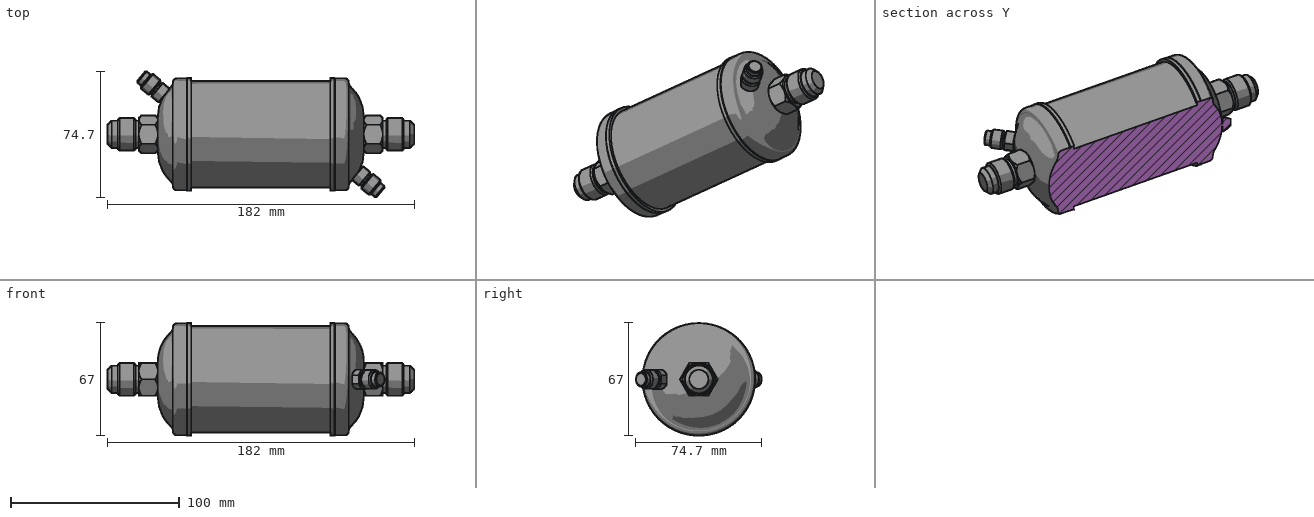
import cadquery as cq
import math


half_length = 91.0
shell_radius = 31.7
bead_radius = 33.5
bead_inner_x = 41.3
bead_outer_x = 43.7
bead_flank = 0.4
flange_radius = 33.3
flange_face_x = 52.2
flange_rounding = 2.5

crown_x = 61.2
crown_radius = 10.5
knuckle_radius = 23.1
knuckle_sweep = math.radians(42.6)
neck_fillet = 3.1

hex_flats = 19.5
hex_length = 11.1
hex_chamfer = 1.5
connector_neck_radius = 8.2
thread_radius = hex_flats / 2
thread_chamfer = 1.0
thread_inner_x = 74.3
thread_outer_x = 84.8
nose_chamfer = 2.5

valve_angle = 40.0
valve_tip_x = -71.0
valve_tip_y = 34.4
valve_nose_radius = 4.4
valve_nose_chamfer = 0.64
valve_thread_radius = 5.6
valve_thread_chamfer = 1.0
valve_thread_start = 3.6
valve_thread_end = 11.1
valve_base_start = 12.4
valve_base_length = 5.5
valve_base_radius = 5.8
valve_base_flats = 10.5


def revolve_about_x(profile):
    return profile.close().revolve(360, (0, 0, 0), (1, 0, 0))


def shell():
    return cq.Workplane("YZ", origin=(-bead_inner_x, 0, 0)).circle(shell_radius).extrude(2 * bead_inner_x)


def end_cap():
    """Bead, flange and dome on the +X side."""

    def on_knuckle(angle):
        return (
            crown_x - knuckle_radius * (1 - math.cos(angle)),
            crown_radius + knuckle_radius * math.sin(angle),
        )

    knuckle_end_x, knuckle_end_radius = on_knuckle(knuckle_sweep)
    cone_end_x = flange_face_x + neck_fillet * (1 - math.cos(knuckle_sweep))
    cone_end_radius = knuckle_end_radius + (knuckle_end_x - cone_end_x) / math.tan(knuckle_sweep)
    neck_face_radius = cone_end_radius + neck_fillet * math.sin(knuckle_sweep)

    def on_neck_fillet(angle):
        return (
            flange_face_x + neck_fillet * (1 - math.cos(angle)),
            neck_face_radius - neck_fillet * math.sin(angle),
        )

    corner_x = flange_face_x - flange_rounding
    corner_radius = flange_radius - flange_rounding
    corner_reach = flange_rounding * math.sqrt(0.5)

    profile = (
        cq.Workplane("XZ")
        .moveTo(bead_inner_x, 0)
        .lineTo(crown_x, 0)
        .lineTo(crown_x, crown_radius)
        .threePointArc(on_knuckle(knuckle_sweep / 2), on_knuckle(knuckle_sweep))
        .lineTo(cone_end_x, cone_end_radius)
        .threePointArc(on_neck_fillet(knuckle_sweep / 2), on_neck_fillet(0))
        .lineTo(flange_face_x, corner_radius)
        .threePointArc(
            (corner_x + corner_reach, corner_radius + corner_reach),
            (corner_x, flange_radius),
        )
        .lineTo(bead_outer_x + bead_flank, flange_radius)
        .lineTo(bead_outer_x, bead_radius)
        .lineTo(bead_inner_x, bead_radius)
    )
    return revolve_about_x(profile)


def flare_connector():
    """Chamfered hexagon followed by a threaded collar and a coned nose, on the +X side."""
    hex_corner_radius = hex_flats / math.sqrt(3)
    hex_end_radius = hex_corner_radius - hex_chamfer
    hex_end_x = crown_x + hex_length

    hex_plane = cq.Workplane("YZ", origin=(crown_x, 0, 0))
    hexagon = hex_plane.polygon(6, 2 * hex_corner_radius).extrude(hex_length)
    chamfer_envelope = revolve_about_x(
        cq.Workplane("XZ")
        .moveTo(crown_x, 0)
        .lineTo(crown_x, hex_end_radius)
        .lineTo(crown_x + hex_chamfer, hex_corner_radius)
        .lineTo(hex_end_x - hex_chamfer, hex_corner_radius)
        .lineTo(hex_end_x, hex_end_radius)
        .lineTo(hex_end_x, 0)
    )
    stem = revolve_about_x(
        cq.Workplane("XZ")
        .moveTo(crown_x, 0)
        .lineTo(crown_x, connector_neck_radius)
        .lineTo(thread_inner_x, connector_neck_radius)
        .lineTo(thread_inner_x, thread_radius - thread_chamfer)
        .lineTo(thread_inner_x + thread_chamfer, thread_radius)
        .lineTo(thread_outer_x - thread_chamfer, thread_radius)
        .lineTo(thread_outer_x, thread_radius - thread_chamfer)
        .lineTo(thread_outer_x, connector_neck_radius)
        .lineTo(half_length - nose_chamfer, connector_neck_radius)
        .lineTo(half_length, connector_neck_radius - nose_chamfer)
        .lineTo(half_length, 0)
    )
    return hexagon.intersect(chamfer_envelope).union(stem)


def access_valve():
    """Slanted valve on the -X, +Y side: nose, threaded collar and a base with two flats."""
    base_end = valve_base_start + valve_base_length
    thread_root = valve_thread_radius - valve_thread_chamfer

    stem = revolve_about_x(
        cq.Workplane("XZ")
        .lineTo(0, valve_nose_radius - valve_nose_chamfer)
        .lineTo(valve_nose_chamfer, valve_nose_radius)
        .lineTo(valve_thread_start, valve_nose_radius)
        .lineTo(valve_thread_start, thread_root)
        .lineTo(valve_thread_start + valve_thread_chamfer, valve_thread_radius)
        .lineTo(valve_thread_end - valve_thread_chamfer, valve_thread_radius)
        .lineTo(valve_thread_end, thread_root)
        .lineTo(valve_thread_end, valve_nose_radius)
        .lineTo(base_end, valve_nose_radius)
        .lineTo(base_end, 0)
    )
    base_plane = cq.Workplane("YZ", origin=(valve_base_start, 0, 0))
    base = base_plane.circle(valve_base_radius).extrude(valve_base_length)
    flats = base_plane.rect(valve_base_flats, 2 * valve_base_radius).extrude(valve_base_length)

    valve = stem.union(base.intersect(flats))
    return valve.rotate((0, 0, 0), (0, 0, 1), -valve_angle).translate((valve_tip_x, valve_tip_y, 0))


def turned_half_way(body):
    return body.rotate((0, 0, 0), (0, 0, 1), 180)


result = shell()
for feature in (end_cap(), flare_connector(), access_valve()):
    result = result.union(feature).union(turned_half_way(feature))